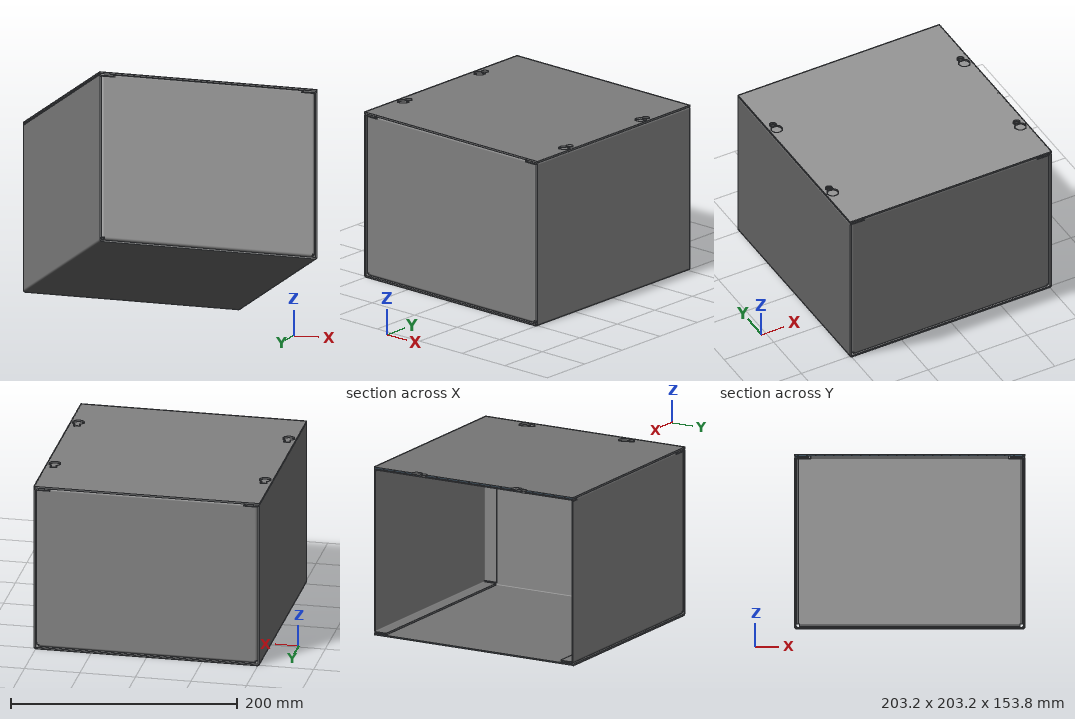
import cadquery as cq

width = 203.2
depth = 203.2
height = 153.8
sheet = 1.5
bend_outside = 2.2
bend_inside = bend_outside - sheet

wrapper_height = height - sheet
lip_width = 12.8

flange_depth = 12.8
pan_gap = 0.5
lip_clearance = 1.5
lip_notch_depth = 2.0

keyhole_x = 94.7
keyhole_y = 50.8
neck_radius = 3.0
entry_radius = 5.0
entry_drop = 7.0
lip_hole_radius = 2.0

neck_points = [(x, y) for x in (-keyhole_x, keyhole_x) for y in (-keyhole_y, keyhole_y)]
entry_points = [(x, y - entry_drop) for x, y in neck_points]


def block(x_size, y_size, z_size, center):
    """Box of the given size around a centre point."""
    return cq.Workplane("XY").box(x_size, y_size, z_size).translate(center)


def rods(points, radius, bottom_z, length):
    """Upright cylinders standing on the given points."""
    return cq.Workplane("XY", origin=(0, 0, bottom_z)).pushPoints(points).circle(radius).extrude(length)


def make_wrapper():
    """C-shaped sheet with rounded bends, open between its two top lips."""
    middle = (0, 0, wrapper_height / 2)
    outside = block(width, depth, wrapper_height, middle).edges("|Y").fillet(bend_outside)
    inside = (
        block(width - 2 * sheet, depth, wrapper_height - 2 * sheet, middle)
        .edges("|Y")
        .fillet(bend_inside)
    )
    opening = block(width - 2 * lip_width, depth, 2 * sheet, (0, 0, wrapper_height))
    lip_holes = rods(neck_points, lip_hole_radius, wrapper_height - sheet, sheet)
    return outside.cut(inside).cut(opening).cut(lip_holes)


def make_mounting_plate():
    """Flat plate on top of the wrapper, pierced by four keyholes."""
    plate = block(width, depth, sheet, (0, 0, wrapper_height + sheet / 2))
    necks = rods(neck_points, neck_radius, wrapper_height, sheet)
    entries = rods(entry_points, entry_radius, wrapper_height, sheet)
    return plate.cut(necks).cut(entries)


def make_front_pan():
    """Panel at -Y with four flanges folded toward +Y and notched corners."""
    pan_width = width - 2 * (sheet + pan_gap)
    pan_bottom = sheet + pan_gap
    pan_height = wrapper_height - pan_bottom
    pan_center_z = pan_bottom + pan_height / 2
    front_y = -depth / 2
    flange_center_y = front_y + flange_depth / 2

    outside = (
        block(pan_width, flange_depth, pan_height, (0, flange_center_y, pan_center_z))
        .faces("<Y")
        .edges()
        .fillet(bend_outside)
    )
    inside_width = pan_width - 2 * sheet
    inside_height = pan_height - 2 * sheet
    inside = (
        block(inside_width, flange_depth, inside_height, (0, flange_center_y + sheet, pan_center_z))
        .faces("<Y")
        .edges()
        .fillet(bend_inside)
    )
    pan = outside.cut(inside)

    lip_notch_width = lip_width + lip_clearance - sheet - pan_gap
    for side in (-1, 1):
        edge_x = side * pan_width / 2
        floor_notch = block(
            2 * bend_outside, flange_depth, 2 * bend_outside, (edge_x, flange_center_y, pan_bottom)
        )
        lip_notch = block(
            2 * lip_notch_width, flange_depth, 2 * lip_notch_depth, (edge_x, flange_center_y, wrapper_height)
        )
        pan = pan.cut(floor_notch).cut(lip_notch)
    return pan


def make_end_pan(turn):
    """End pan turned about the vertical axis of the box, in degrees."""
    return make_front_pan().rotate((0, 0, 0), (0, 0, 1), turn)


wrapper = make_wrapper()
mounting_plate = make_mounting_plate()
end_pans = [make_end_pan(turn) for turn in (0, 180)]

result = cq.Compound.makeCompound(
    [wrapper.val(), mounting_plate.val(), *[pan.val() for pan in end_pans]]
)